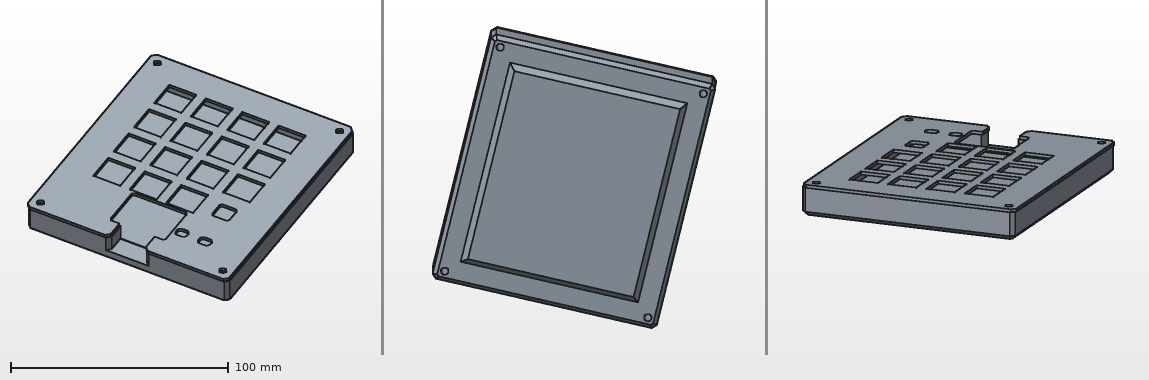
import cadquery as cq


overall_width = 106.57
overall_height = 17.76

case_width = 106.1
case_length = 120.19
case_height = 13.5
corner_cut = 2.0
wall = 10.35
cavity_depth = 8.1
notch_depth = 7.65

plate_thickness = 1.5
plate_shift = case_width - overall_width

base_height = overall_height - case_height - plate_thickness
base_inset = 11.1
base_slope = 45.0

screw_hole_diameter = 3.4
screw_hole_inset = 5.0

notch_width = 18.5
notch_flare = 2.0

key_size = 14.2
key_pitch = 19.2
key_columns = 4
key_rows = 4
first_key_x = -29.22
first_key_y = 37.6
knob_place = (key_columns - 1, key_rows - 1)

knob_window = (9.0, 9.0, 1.5, 28.75, -19.8)
left_lamp_window = (5.8, 4.8, 1.8, 18.5, -41.5)
right_lamp_window = (6.2, 4.8, 1.8, 30.6, -41.5)
controller_window = (29.0, 21.8, 1.5, -0.4, -39.1)
controller_window_y = controller_window[4]

case_top = base_height + case_height
cavity_floor = case_top - cavity_depth
notch_floor = case_top - notch_depth


def block(width, length, bottom, height, x=0, y=0):
    """Upright rectangular block centred on x, y."""
    return cq.Workplane("XY", origin=(x, y, bottom)).rect(width, length).extrude(height)


def window_cutter(width, length, radius, x, y):
    """Rounded rectangular opening through the plate."""
    return block(width, length, case_top, plate_thickness, x, y).edges("|Z").fillet(radius)


def screw_hole_cutter(bottom, height):
    """Four pins, one near each corner."""
    spacing_x = case_width - 2 * screw_hole_inset
    spacing_y = case_length - 2 * screw_hole_inset
    centres = cq.Workplane("XY", origin=(0, 0, bottom)).rect(spacing_x, spacing_y, forConstruction=True)
    return centres.vertices().circle(screw_hole_diameter / 2).extrude(height)


def notch_cutter(inner_y, bottom, height):
    """Slot from inner_y out to the -Y face, where it widens."""
    half = notch_width / 2
    front_y = -case_length / 2
    outline = [
        (-half, inner_y),
        (-half, front_y + notch_flare),
        (-half - notch_flare, front_y),
        (half + notch_flare, front_y),
        (half, front_y + notch_flare),
        (half, inner_y),
    ]
    return cq.Workplane("XY", origin=(0, 0, bottom)).polyline(outline).close().extrude(height)


def make_base():
    """Raised foot under the case, wider at the top than at the bottom."""
    width = case_width - 2 * base_inset
    length = case_length - 2 * base_inset
    top = cq.Workplane("XY", origin=(0, 0, base_height)).rect(width, length)
    return top.extrude(-base_height, taper=base_slope)


def make_case():
    """Tray with an open cavity, a cable notch and four screw holes."""
    body = block(case_width, case_length, base_height, case_height)
    body = body.edges("|Z").chamfer(corner_cut)
    body = body.faces("<Z").chamfer(corner_cut)
    cavity = block(case_width - 2 * wall, case_length - 2 * wall, cavity_floor, cavity_depth)
    body = body.cut(cavity)
    cavity_front_y = wall - case_length / 2
    body = body.cut(notch_cutter(cavity_front_y, notch_floor, notch_depth))
    return body.cut(screw_hole_cutter(base_height, case_height))


def make_plate():
    """Cover with key openings, rounded windows, cable notch and screw holes."""
    body = block(case_width, case_length, case_top, plate_thickness)
    body = body.edges("|Z").chamfer(corner_cut)
    body = body.cut(screw_hole_cutter(case_top, plate_thickness))
    body = body.cut(notch_cutter(controller_window_y, case_top, plate_thickness))
    body = body.translate((plate_shift, 0, 0))

    for window in (knob_window, left_lamp_window, right_lamp_window, controller_window):
        body = body.cut(window_cutter(*window))

    for column in range(key_columns):
        for row in range(key_rows):
            if (column, row) == knob_place:
                continue
            x = first_key_x + column * key_pitch
            y = first_key_y - row * key_pitch
            body = body.cut(block(key_size, key_size, case_top, plate_thickness, x, y))
    return body


base = make_base()
case = make_case()
plate = make_plate()

result = cq.Compound.makeCompound([base.val(), case.val(), plate.val()])